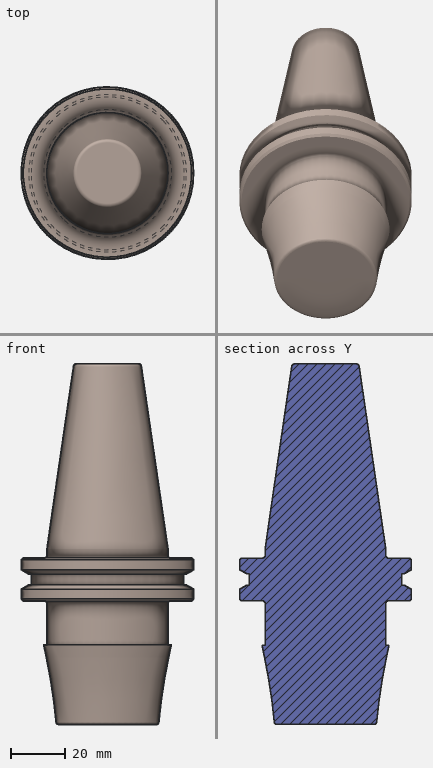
import cadquery as cq
import math

LENGTH = 132.8

TIP_FILLET = 1.0
TIP_RADIUS = 18.9
RIM_TOP_Z = 29.3
RIM_RADIUS = 23.5
RIM_HEIGHT = 4.6
RIM_SLOPE = 0.21

NECK_RADIUS = 22.3
NECK_FILLET = 0.8

FLANGE_RADIUS = 31.7
FLANGE_BOTTOM_Z = 45.4
FLANGE_HEIGHT = 15.9
FLANGE_CHAMFER = 0.8
GROOVE_RADIUS = 28.1
GROOVE_FLOOR_WIDTH = 4.0
GROOVE_WALL_HEIGHT = 1.6
GROOVE_WALL_ANGLE = 30.0

GAUGE_OFFSET = 3.2
TAPER_SLOPE = 7 / 48
TOP_FILLET = 1.3

flange_top_z = FLANGE_BOTTOM_Z + FLANGE_HEIGHT
flange_middle_z = FLANGE_BOTTOM_Z + FLANGE_HEIGHT / 2
taper_start_z = flange_top_z + GAUGE_OFFSET
top_radius = NECK_RADIUS - TAPER_SLOPE * (LENGTH - taper_start_z)

rim_bottom_z = RIM_TOP_Z - RIM_HEIGHT
rim_bottom_radius = RIM_RADIUS - RIM_SLOPE * RIM_HEIGHT


def revolve_profile(profile):
    """Spin a closed (radius, height) profile about the Z axis."""
    return profile.close().revolve(360, (0, 0, 0), (0, 1, 0))


def make_nose():
    """Nose whose concave side runs tangentially into the conical rim."""
    profile = (
        cq.Workplane("XZ")
        .lineTo(0, RIM_TOP_Z)
        .lineTo(RIM_RADIUS, RIM_TOP_Z)
        .lineTo(rim_bottom_radius, rim_bottom_z)
        .tangentArcPoint((TIP_RADIUS, 0), relative=False)
    )
    return revolve_profile(profile).faces("<Z").edges().fillet(TIP_FILLET)


def make_shank():
    """Neck, flange blank and taper in one turned body."""
    profile = (
        cq.Workplane("XZ")
        .moveTo(0, RIM_TOP_Z)
        .lineTo(NECK_RADIUS, RIM_TOP_Z)
        .lineTo(NECK_RADIUS, FLANGE_BOTTOM_Z - NECK_FILLET)
        .radiusArc((NECK_RADIUS + NECK_FILLET, FLANGE_BOTTOM_Z), NECK_FILLET)
        .lineTo(FLANGE_RADIUS - FLANGE_CHAMFER, FLANGE_BOTTOM_Z)
        .lineTo(FLANGE_RADIUS, FLANGE_BOTTOM_Z + FLANGE_CHAMFER)
        .lineTo(FLANGE_RADIUS, flange_top_z - FLANGE_CHAMFER)
        .lineTo(FLANGE_RADIUS - FLANGE_CHAMFER, flange_top_z)
        .lineTo(NECK_RADIUS + NECK_FILLET, flange_top_z)
        .radiusArc((NECK_RADIUS, flange_top_z + NECK_FILLET), NECK_FILLET)
        .lineTo(NECK_RADIUS, taper_start_z)
        .lineTo(top_radius, LENGTH)
        .lineTo(0, LENGTH)
    )
    return revolve_profile(profile).faces(">Z").edges().fillet(TOP_FILLET)


def make_groove():
    """Ring cutter: sloped walls, a narrow ledge and a straight floor."""
    half_floor = GROOVE_FLOOR_WIDTH / 2
    half_mouth = half_floor + GROOVE_WALL_HEIGHT
    ledge_radius = FLANGE_RADIUS - GROOVE_WALL_HEIGHT / math.tan(math.radians(GROOVE_WALL_ANGLE))
    profile = (
        cq.Workplane("XZ")
        .moveTo(GROOVE_RADIUS, flange_middle_z - half_floor)
        .lineTo(ledge_radius, flange_middle_z - half_floor)
        .lineTo(FLANGE_RADIUS, flange_middle_z - half_mouth)
        .lineTo(FLANGE_RADIUS, flange_middle_z + half_mouth)
        .lineTo(ledge_radius, flange_middle_z + half_floor)
        .lineTo(GROOVE_RADIUS, flange_middle_z + half_floor)
    )
    return revolve_profile(profile)


result = make_nose().union(make_shank()).cut(make_groove())